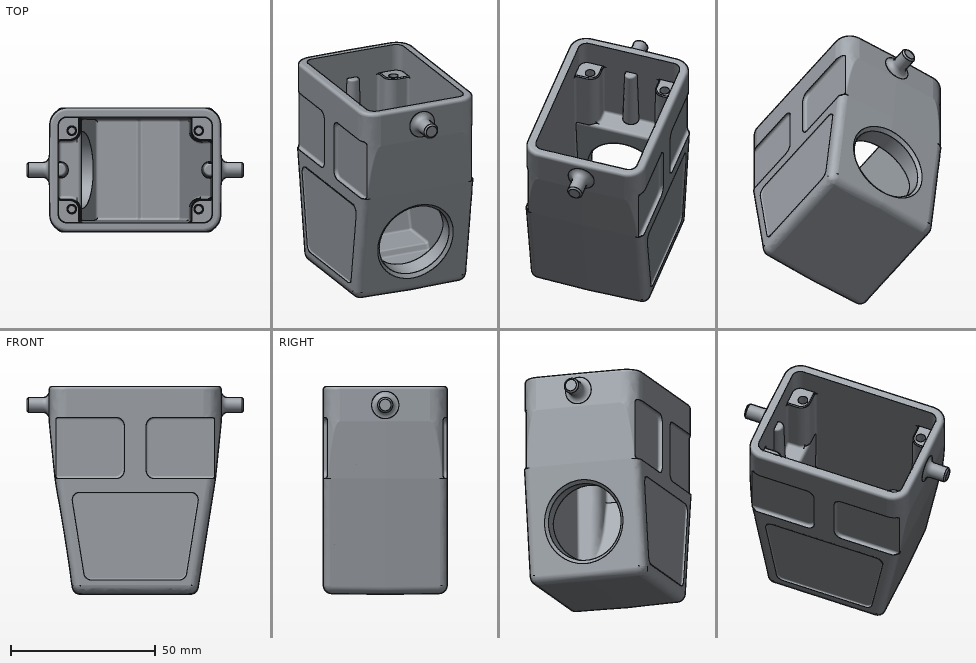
import cadquery as cq
import math

height = 72.1
half_depth = 43.0 / 2
pin_tip_x = 37.5
rim_half_width = 29.85
knee_half_width = 27.8
foot_half_width = 21.45
collar_z = 59.9
knee_z = 40.1
end_crown = 0.3
collar_corner_radius = 6.0
skirt_corner_radius = 2.55
bottom_edge_radius = 3.0
rim_edge_radius = 1.1
taper_edge_radius = 0.75

wall = 3.15
cavity_half_width = rim_half_width - wall
cavity_half_depth = half_depth - wall
cavity_corner_radius = 3.0
cavity_draft = 0.8
post_top_z = 62.55
post_inner_x = 19.3
post_inner_y = 10.2
post_corner_radius = 3.4
blend_radius = 0.9
post_edge_bevel = 0.4
low_floor_z = 4.5
high_floor_z = 6.75
floor_step_x = 0.9
floor_step_run = 1.2
entry_wall_foot_x = -13.5
entry_wall_x = -18.7
entry_wall_bend_z = 21.75
ledge_z = 40.1
ledge_edge_radius = 1.1
ledge_inner_x = entry_wall_x - ledge_edge_radius - 0.4
far_wall_foot_x = 15.4
far_wall_bend_x = 26.25

screw_x = 22.0
screw_y = 13.6
screw_top_radius = 1.65
screw_bottom_radius = 1.3
screw_depth = 11.25
rib_center_x = 26.0
rib_top_radius = 2.2
rib_bottom_radius = 3.0
rib_bottom_z = 35.25
rib_edge_radius = 0.7

entry_z = 19.95
entry_radius = 13.35
entry_chamfer = 1.3
entry_depth = 15.0

window_inner_x = 3.75
window_top_z = 61.35
window_depth = 1.4
window_corner_radius = 3.0
window_floor_radius = 0.9
panel_top_z = 35.4
panel_bottom_z = 5.0
panel_margin = 4.8
panel_depth = 0.6
panel_corner_radius = 2.6
panel_floor_radius = 0.5

pin_z = 65.6
pin_radius = 2.6
pin_chamfer = 0.6
pin_flare = 2.1

clearance = 3.75
margin = 0.75
snug = 0.1
side_slope = (knee_half_width - foot_half_width) / knee_z
side_angle = math.degrees(math.atan(side_slope))


def peaked_plan(half_width, z):
    """Closed outline at height z whose two ends come to a shallow peak at y = 0."""
    corner_x = half_width - end_crown
    points = [
        (half_width, 0),
        (corner_x, half_depth),
        (-corner_x, half_depth),
        (-half_width, 0),
        (-corner_x, -half_depth),
        (corner_x, -half_depth),
    ]
    return cq.Wire.makePolygon([cq.Vector(x, y, z) for x, y in points], close=True)


def peaked_block(bottom_half_width, bottom_z, top_half_width, top_z):
    """Solid that runs straight between two peaked outlines."""
    wires = [peaked_plan(bottom_half_width, bottom_z), peaked_plan(top_half_width, top_z)]
    return cq.Workplane(obj=cq.Solid.makeLoft(wires, True))


def round_corners(body, radius):
    """Round the four upright corner edges, leaving the peaks at y = 0 sharp."""
    corners = body.faces("<Y or >Y").edges("not #Z")
    return corners.fillet(radius)


def zone(low, high):
    """Selector for everything whose center lies inside the box between two corners."""
    return cq.selectors.BoxSelector(low, high)


def is_off_center(edge):
    return abs(edge.Center().y) > margin


def make_collar():
    """Upper half: a column with large round corners, trimmed by the tapered sides."""
    column = peaked_block(rim_half_width, knee_z, rim_half_width, height)
    column = round_corners(column, collar_corner_radius)
    column = column.faces(">Z").edges().fillet(rim_edge_radius)
    taper = peaked_block(knee_half_width, knee_z, rim_half_width, collar_z)
    ring = peaked_block(rim_half_width, collar_z, rim_half_width, height)
    column = column.intersect(taper.union(ring))
    side_edges = column.edges(zone(
        (-pin_tip_x, -half_depth, knee_z + margin),
        (pin_tip_x, half_depth, collar_z - margin),
    ))
    trim_edges = side_edges.filter(lambda edge: margin < abs(edge.Center().y) < half_depth - margin)
    return trim_edges.fillet(taper_edge_radius)


def make_skirt():
    """Lower half: tapered ends, a shallow keel along the bottom and round edges."""
    block = peaked_block(foot_half_width, 0, knee_half_width, knee_z)
    keel = (
        cq.Workplane("YZ")
        .polyline([
            (0, 0),
            (half_depth, end_crown),
            (half_depth, knee_z),
            (-half_depth, knee_z),
            (-half_depth, end_crown),
        ])
        .close()
        .extrude(pin_tip_x, both=True)
    )
    block = block.intersect(keel)
    low_edges = block.edges().filter(lambda edge: edge.BoundingBox().zmax < margin)
    block = low_edges.filter(is_off_center).fillet(bottom_edge_radius)
    return round_corners(block, skirt_corner_radius)


def drafted_bay(plan, top_z, bottom_z):
    """Void with the given plan at top_z that narrows downward by the cavity draft."""
    return (
        cq.Workplane("XY", origin=(0, 0, top_z))
        .placeSketch(plan)
        .extrude(bottom_z - top_z, taper=cavity_draft)
    )


def post_bay_plan():
    """Plan of the bay between the four corner posts, at the height of their tops."""
    inset = (height - post_top_z) * math.tan(math.radians(cavity_draft))
    plan = (
        cq.Sketch()
        .rect(2 * (cavity_half_width - inset), 2 * post_inner_y)
        .rect(2 * post_inner_x, 2 * (cavity_half_depth - inset))
        .clean()
    )
    post_noses = zone(
        (-post_inner_x - margin, -post_inner_y - margin, -margin),
        (post_inner_x + margin, post_inner_y + margin, margin),
    )
    return plan.vertices(post_noses).fillet(post_corner_radius).reset()


def rooted_bay_plan():
    """The same plan with the posts blended into the walls."""
    return post_bay_plan().vertices("<X or >X or <Y or >Y").fillet(blend_radius).reset()


def make_open_bay():
    """Upper part of the cavity, from the rim down to the tops of the posts."""
    plan = cq.Sketch().rect(2 * cavity_half_width, 2 * cavity_half_depth)
    plan = plan.vertices().fillet(cavity_corner_radius).reset()
    full_bay = drafted_bay(plan, height, low_floor_z)
    bevel_bottom_z = post_top_z - post_edge_bevel
    post_bevel = (
        cq.Workplane("XY", origin=(0, 0, bevel_bottom_z))
        .placeSketch(rooted_bay_plan())
        .extrude(post_edge_bevel, taper=-45)
        .intersect(full_bay)
    )
    return drafted_bay(plan, height, post_top_z).union(post_bevel)


def make_floor_profile():
    """Lengthwise section of the deep bay: entry wall, stepped floor and sloped far wall."""
    profile = (
        cq.Workplane("XZ")
        .polyline([
            (entry_wall_foot_x, low_floor_z),
            (floor_step_x, low_floor_z),
            (floor_step_x + floor_step_run, high_floor_z),
            (far_wall_foot_x, high_floor_z),
            (far_wall_bend_x, knee_z),
            (pin_tip_x, knee_z),
            (pin_tip_x, height),
            (ledge_inner_x, height),
            (ledge_inner_x, ledge_z),
            (entry_wall_x, ledge_z),
            (entry_wall_x, entry_wall_bend_z),
        ])
        .close()
        .extrude(half_depth, both=True)
    )
    lip = zone(
        (entry_wall_x - snug, -margin, ledge_z - margin),
        (entry_wall_x + snug, margin, ledge_z + margin),
    )
    return profile.edges(lip).fillet(ledge_edge_radius)


def make_deep_bay():
    """Bay between the posts, down to the floor, with its walls blended together."""
    bay = drafted_bay(post_bay_plan(), post_top_z, low_floor_z).intersect(make_floor_profile())
    floor_edges = bay.edges(zone(
        (entry_wall_foot_x - margin, -half_depth, 0),
        (far_wall_foot_x + margin, half_depth, high_floor_z + snug),
    ))
    far_wall_edges = bay.edges(zone(
        (far_wall_foot_x + snug, -half_depth, high_floor_z + snug),
        (pin_tip_x, half_depth, knee_z - snug),
    )).filter(is_off_center)
    side_roots = bay.edges("not #Z").filter(
        lambda edge: abs(edge.Center().y) > cavity_half_depth - margin
        and edge.BoundingBox().zmax > post_top_z - margin
    )
    bay = floor_edges.add(far_wall_edges).add(side_roots).fillet(blend_radius)
    end_roots = bay.edges(zone(
        (far_wall_bend_x, -post_inner_y - margin, knee_z + margin),
        (pin_tip_x, post_inner_y + margin, post_top_z - margin),
    )).filter(is_off_center)
    return end_roots.fillet(blend_radius)


def make_ledge_bay():
    """Shallow pocket above the entry wall, between the two posts of that end."""
    bay = drafted_bay(rooted_bay_plan(), post_top_z, ledge_z)
    bay = bay.faces("<Z").edges().fillet(blend_radius)
    end_block = (
        cq.Workplane("XY")
        .box(pin_tip_x, 2 * half_depth, height, centered=(False, True, False))
        .translate((ledge_inner_x - pin_tip_x, 0, 0))
    )
    return bay.intersect(end_block)


def make_screw_holes():
    """Four blind, slightly tapered screw holes down into the posts."""
    hole = cq.Workplane(obj=cq.Solid.makeCone(
        screw_bottom_radius, screw_top_radius, screw_depth, pnt=cq.Vector(0, 0, -screw_depth)))
    holes = cq.Workplane()
    for x in (-screw_x, screw_x):
        for y in (-screw_y, screw_y):
            holes = holes.union(hole.translate((x, y, post_top_z)))
    return holes


def make_rib(side):
    """Tapered half-round guide rib on the inside of one end wall."""
    base = cq.Vector(side * rib_center_x, 0, rib_bottom_z)
    rib = cq.Solid.makeCone(rib_bottom_radius, rib_top_radius, post_top_z - rib_bottom_z, pnt=base)
    return cq.Workplane(obj=rib).faces(">Z").edges().fillet(rib_edge_radius)


def make_entry():
    """Round cable entry square to the tapered end wall, with a chamfered mouth."""
    mouth_x = -(foot_half_width + side_slope * entry_z)
    mouth_radius = entry_radius + entry_chamfer
    profile = [
        (0, -clearance),
        (mouth_radius, -clearance),
        (mouth_radius, 0),
        (entry_radius, entry_chamfer),
        (entry_radius, entry_depth),
        (0, entry_depth),
    ]
    cutter = cq.Workplane("XY").polyline(profile).close().revolve(360, (0, 0), (0, 1))
    cutter = cutter.rotate((0, 0, 0), (0, 0, 1), -90)
    cutter = cutter.rotate((0, 0, 0), (0, 1, 0), -side_angle)
    return cutter.translate((mouth_x, 0, entry_z))


def make_window():
    """Recess in the front face that runs out through the rounded +X corner."""
    width = pin_tip_x - window_inner_x
    window_height = window_top_z - knee_z
    cutter = (
        cq.Workplane("XY")
        .box(width, window_depth + clearance, window_height, centered=False)
        .translate((window_inner_x, -half_depth - clearance, knee_z))
    )
    cutter = cutter.faces("<X").edges("|Y").fillet(window_corner_radius)
    return cutter.faces(">Y").edges("not >X").fillet(window_floor_radius)


def make_panel():
    """Shallow trapezoid recess in the front face whose sides follow the tapered ends."""
    bottom_x = foot_half_width + side_slope * panel_bottom_z - panel_margin
    top_x = foot_half_width + side_slope * panel_top_z - panel_margin
    cutter = (
        cq.Workplane("XZ", origin=(0, panel_depth - half_depth, 0))
        .polyline([
            (-bottom_x, panel_bottom_z),
            (bottom_x, panel_bottom_z),
            (top_x, panel_top_z),
            (-top_x, panel_top_z),
        ])
        .close()
        .extrude(panel_depth + clearance)
    )
    cutter = cutter.edges("|Y").fillet(panel_corner_radius)
    return cutter.faces(">Y").edges().fillet(panel_floor_radius)


def make_pin():
    """Locking pin on the +X end with a flared root and a chamfered tip."""
    root_x = rim_half_width - wall / 2
    flare_x = rim_half_width
    flare_radius = pin_radius + pin_flare
    middle = pin_flare * (1 - math.sqrt(0.5))
    return (
        cq.Workplane("XY")
        .moveTo(root_x, 0)
        .lineTo(root_x, flare_radius)
        .lineTo(flare_x, flare_radius)
        .threePointArc((flare_x + middle, pin_radius + middle), (flare_x + pin_flare, pin_radius))
        .lineTo(pin_tip_x - pin_chamfer, pin_radius)
        .lineTo(pin_tip_x, pin_radius - pin_chamfer)
        .lineTo(pin_tip_x, 0)
        .close()
        .revolve(360, (0, 0), (1, 0))
        .translate((0, 0, pin_z))
    )


body = make_collar().union(make_skirt())

pin = make_pin()
body = body.union(pin).union(pin.mirror("YZ"))

window = make_window()
window = window.union(window.mirror("YZ"))
for recess in (window, make_panel()):
    body = body.cut(recess).cut(recess.mirror("XZ"))

open_bay = make_open_bay()
cavity = make_deep_bay().union(make_ledge_bay())
for side in (-1, 1):
    rib = make_rib(side)
    cavity = cavity.cut(rib)
    open_bay = open_bay.cut(rib)
body = body.cut(cavity).cut(open_bay)
body = body.cut(make_screw_holes()).cut(make_entry())

result = body